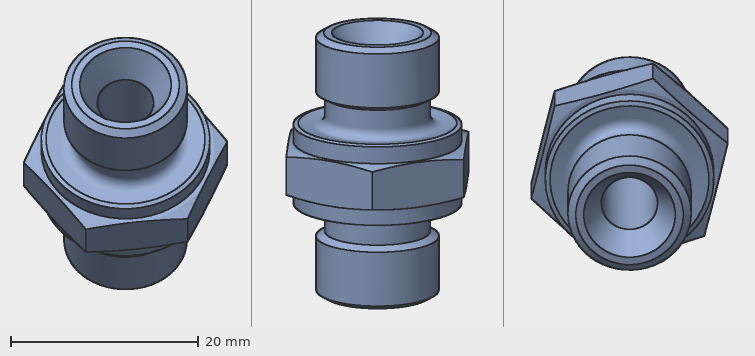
import cadquery as cq
import math

length = 29.0
half_length = length / 2

hex_sides = 6
hex_across_flats = 19.0
hex_height = 5.0
hex_chamfer_angle = 15.0
hex_corner_clearance = 0.3

collar_diameter = 18.0
collar_span = 9.0
seal_edge_diameter = 16.96
seal_edge_drop = 0.15
seal_face_angle = 8.0

thread_diameter = 13.17
thread_tip_diameter = 11.48
thread_length = 6.5
end_chamfer_height = 0.52

neck_diameter = 11.28
relief_radius = 1.13

bore_diameter = 6.0
seat_diameter = 9.77
seat_half_angle = 30.0


def sloped_height(radial_run, angle):
    """Height gained over a radial run by a face tilted by the angle from horizontal."""
    return radial_run * math.tan(math.radians(angle))


def hexagon():
    """Hexagon with corners on the Y axis, its corners bevelled by a cone at both faces."""
    corner_diameter = hex_across_flats / math.cos(math.pi / hex_sides)
    prism = (
        cq.Workplane("XY")
        .polygon(hex_sides, corner_diameter)
        .extrude(hex_height / 2, both=True)
        .rotate((0, 0, 0), (0, 0, 1), 90)
    )
    flat_radius = hex_across_flats / 2
    outer_radius = corner_diameter / 2 + hex_corner_clearance
    half_height = hex_height / 2
    rim_height = half_height - sloped_height(outer_radius - flat_radius, hex_chamfer_angle)
    envelope = (
        cq.Workplane("XZ")
        .moveTo(0, -half_height)
        .lineTo(flat_radius, -half_height)
        .lineTo(outer_radius, -rim_height)
        .lineTo(outer_radius, rim_height)
        .lineTo(flat_radius, half_height)
        .lineTo(0, half_height)
        .close()
        .revolve(360, (0, 0), (0, 1))
    )
    return prism.intersect(envelope)


def upper_end():
    """Collar, relief neck and threaded end above the middle of the hexagon."""
    neck_radius = neck_diameter / 2
    thread_radius = thread_diameter / 2
    seal_edge_radius = seal_edge_diameter / 2
    seal_height = collar_span / 2

    tilt = math.radians(seal_face_angle)
    arc_center_radius = neck_radius + relief_radius
    arc_end_radius = arc_center_radius + relief_radius * math.sin(tilt)
    seal_face_depth = sloped_height(seal_edge_radius - arc_end_radius, seal_face_angle)
    arc_end_height = seal_height - seal_face_depth
    arc_start_height = arc_end_height + relief_radius * math.cos(tilt)

    thread_start = half_length - thread_length
    thread_end = half_length - end_chamfer_height
    return (
        cq.Workplane("XZ")
        .lineTo(collar_diameter / 2, 0)
        .lineTo(collar_diameter / 2, seal_height - seal_edge_drop)
        .lineTo(seal_edge_radius, seal_height)
        .lineTo(arc_end_radius, arc_end_height)
        .tangentArcPoint((neck_radius, arc_start_height), relative=False)
        .lineTo(neck_radius, thread_start - end_chamfer_height)
        .lineTo(thread_radius, thread_start)
        .lineTo(thread_radius, thread_end)
        .lineTo(thread_tip_diameter / 2, half_length)
        .lineTo(0, half_length)
        .close()
        .revolve(360, (0, 0), (0, 1))
    )


def upper_bore():
    """Upper half of the through bore, opening into the conical seat."""
    bore_radius = bore_diameter / 2
    seat_radius = seat_diameter / 2
    seat_depth = (seat_radius - bore_radius) / math.tan(math.radians(seat_half_angle))
    return (
        cq.Workplane("XZ")
        .lineTo(bore_radius, 0)
        .lineTo(bore_radius, half_length - seat_depth)
        .lineTo(seat_radius, half_length)
        .lineTo(0, half_length)
        .close()
        .revolve(360, (0, 0), (0, 1))
    )


def both_ends(upper):
    """The upper shape joined with its mirror image below the middle plane."""
    return upper.union(upper.mirror("XY"))


result = hexagon().union(both_ends(upper_end())).cut(both_ends(upper_bore()))